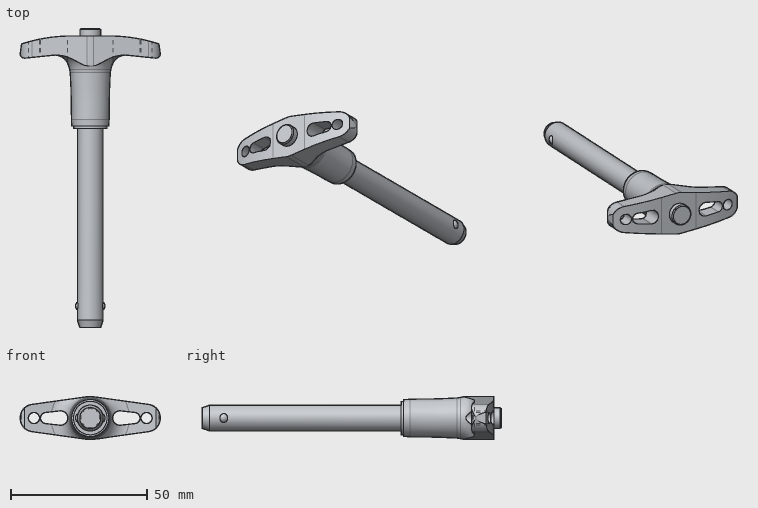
import cadquery as cq
import math


overall_length = 109.6
handle_width = 51.45
handle_depth = 15.88

button_radius = 3.85
button_height = 2.7
button_chamfer = 0.4

handle_top_y = 34.0
ring_top_y = 21.75
ring_bottom_y = 20.5
nose_top_y = 3.3
nose_bottom_y = 0.9

ring_top_radius = 7.6
ring_bottom_radius = 7.4
waist_radius = 7.05
nose_top_radius = 6.97
nose_bottom_radius = 6.8
collar_radius = 6.15

flare_rim_radius = 14.3
flare_rim_y = 26.92
underside_slope = math.radians(6.4)

hub_radius = handle_depth / 2
tip_radius = 5.08
tip_center_x = handle_width / 2 - tip_radius
turning_allowance = 1.0

crown_flat_half_width = 7.0
crown_radius = 58.0
tip_corner_radius = 1.6
tip_face_lean = 0.5

cord_hole_radius = 2.0
slot_inner_x = 10.85
slot_inner_radius = 2.6
slot_outer_x = 16.2
slot_outer_radius = 2.0

shank_radius = 4.76
shank_end_y = handle_top_y + button_height - overall_length
point_length = 2.7
point_radius = 3.85
ball_radius = 1.85
ball_reach = 5.45
ball_to_end = 7.9


def plane_across_axis(y):
    """XZ plane at height y, with extrusion running towards +Y."""
    return cq.Workplane("XZ", origin=(0, y, 0)).transformed(rotate=(180, 0, 0))


def tapered_outline(workplane, x_a, radius_a, x_b, radius_b):
    """Closed outline around two circles on the X axis, joined by their tangent lines."""
    tangent_angle = math.acos((radius_a - radius_b) / (x_b - x_a))
    cosine = math.cos(tangent_angle)
    sine = math.sin(tangent_angle)
    start = (x_a + radius_a * cosine, radius_a * sine)
    outer = (x_b + radius_b * cosine, radius_b * sine)
    return (
        workplane.moveTo(*start)
        .lineTo(*outer)
        .threePointArc((x_b + radius_b, 0), (outer[0], -outer[1]))
        .lineTo(start[0], -start[1])
        .threePointArc((x_a - radius_a, 0), start)
        .close()
    )


def underside_y(radius):
    return flare_rim_y - (radius - flare_rim_radius) * math.tan(underside_slope)


def flare_arc_midpoint():
    """Middle of the arc that leaves the underside tangentially at the rim and ends on the ring."""
    run = flare_rim_radius - ring_top_radius
    rise = flare_rim_y - ring_top_y
    chord = math.hypot(run, rise)
    chord_angle = math.atan2(rise, run)
    half_sweep = chord_angle + underside_slope
    sagitta = chord / 2 * math.tan(half_sweep / 2)
    return (
        flare_rim_radius - run / 2 - sagitta * math.sin(chord_angle),
        flare_rim_y - rise / 2 + sagitta * math.cos(chord_angle),
    )


def turned_handle():
    """Grip, flare and wing underside as one turned body."""
    blank_radius = handle_width / 2 + turning_allowance
    waist_y = (ring_bottom_y + nose_top_y) / 2
    return (
        cq.Workplane("XY")
        .moveTo(0, handle_top_y)
        .lineTo(blank_radius, handle_top_y)
        .lineTo(blank_radius, underside_y(blank_radius))
        .lineTo(flare_rim_radius, flare_rim_y)
        .threePointArc(flare_arc_midpoint(), (ring_top_radius, ring_top_y))
        .lineTo(ring_bottom_radius, ring_bottom_y)
        .threePointArc((waist_radius, waist_y), (nose_top_radius, nose_top_y))
        .lineTo(nose_bottom_radius, nose_bottom_y)
        .lineTo(collar_radius, nose_bottom_y)
        .lineTo(collar_radius, 0)
        .lineTo(0, 0)
        .close()
        .revolve(360, (0, 0, 0), (0, 1, 0))
    )


def wing_outline():
    """Lens-shaped prism along Y: hub circle tapering to a round tip on each side."""
    workplane = plane_across_axis(0)
    half = tapered_outline(workplane, 0, hub_radius, tip_center_x, tip_radius).extrude(handle_top_y)
    return half.union(half.mirror("YZ"))


def crown_y(x):
    run = x - crown_flat_half_width
    return handle_top_y - crown_radius + math.sqrt(crown_radius**2 - run**2)


def crown_profile():
    """Prism along Z that crowns the handle top and rounds the lower corner of each tip."""
    tip_x = handle_width / 2
    corner_x = tip_x - tip_corner_radius
    corner_y = underside_y(corner_x) + tip_corner_radius
    diagonal = tip_corner_radius * math.sin(math.pi / 4)
    tip_top_x = tip_x - tip_face_lean
    crown_mid_x = (crown_flat_half_width + tip_top_x) / 2
    half = (
        cq.Workplane("XY")
        .moveTo(0, handle_top_y)
        .lineTo(crown_flat_half_width, handle_top_y)
        .threePointArc((crown_mid_x, crown_y(crown_mid_x)), (tip_top_x, crown_y(tip_top_x)))
        .lineTo(tip_x, corner_y)
        .threePointArc(
            (corner_x + diagonal, corner_y - diagonal),
            (corner_x, corner_y - tip_corner_radius),
        )
        .lineTo(corner_x, 0)
        .lineTo(0, 0)
        .close()
        .extrude(handle_depth, both=True)
    )
    return half.union(half.mirror("YZ"))


def wing_openings():
    """Cord hole and tapered slot through each wing."""
    workplane = plane_across_axis(0)
    cord_hole = workplane.center(tip_center_x, 0).circle(cord_hole_radius).extrude(handle_top_y)
    slot = tapered_outline(
        workplane, slot_inner_x, slot_inner_radius, slot_outer_x, slot_outer_radius
    ).extrude(handle_top_y)
    one_side = cord_hole.union(slot)
    return one_side.union(one_side.mirror("YZ"))


def button():
    return (
        plane_across_axis(handle_top_y)
        .circle(button_radius)
        .extrude(button_height)
        .faces(">Y")
        .chamfer(button_chamfer)
    )


def shank():
    """Plain shank with a conical point."""
    point_start_y = shank_end_y + point_length
    return (
        cq.Workplane("XY")
        .lineTo(shank_radius, 0)
        .lineTo(shank_radius, point_start_y)
        .lineTo(point_radius, shank_end_y)
        .lineTo(0, shank_end_y)
        .close()
        .revolve(360, (0, 0, 0), (0, 1, 0))
    )


def locking_ball(side):
    center_x = side * (ball_reach - ball_radius)
    return cq.Workplane("XY").sphere(ball_radius).translate((center_x, shank_end_y + ball_to_end, 0))


handle = turned_handle().intersect(wing_outline()).intersect(crown_profile()).cut(wing_openings())
result = handle.union(button()).union(shank())
for side in (-1, 1):
    result = result.union(locking_ball(side))